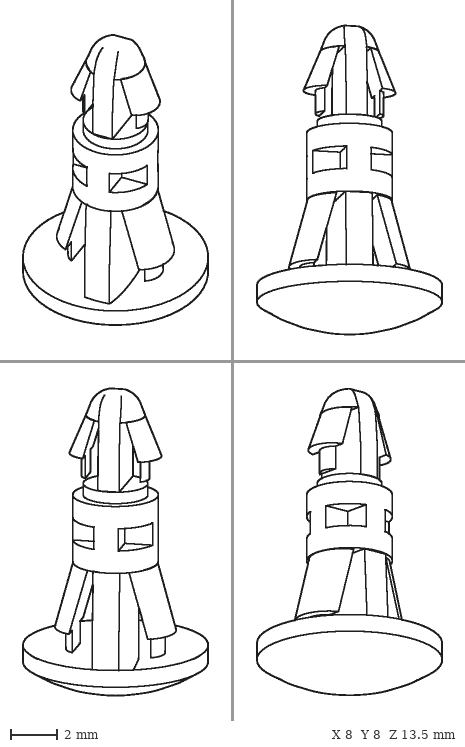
import cadquery as cq
import math

dish_radius = 4.001
dish_depth = 1.25
rim_height = 0.75
rim_top = dish_depth + rim_height

outer_sphere_radius = (dish_radius**2 + dish_depth**2) / (2 * dish_depth)
sphere_centre = outer_sphere_radius
inner_sphere_radius = math.hypot(dish_radius, sphere_centre - rim_top)
dish_floor = sphere_centre - inner_sphere_radius

lower_prong_bottom = 1.75
lower_barb_bottom = 2.75
collar_bottom = 5.74
collar_top = 8.74
neck_top = 9.25
upper_prong_bottom = 9.54
upper_barb_bottom = 10.56
head_bottom = 12.32
dome_bottom = 12.86
head_top = 13.45

collar_radius = 3.7 / 2
neck_radius = 2.8 / 2
head_radius = 1.28
dome_radius = 1.08
tip_radius = 0.16

pocket_height = 1.0
pocket_middle = (collar_bottom + collar_top) / 2
core_half_width = 0.54

lower_rib_thickness = 1.18
lower_rib_foot = 1.88
lower_rib_top = 1.72
inside_wall = 0.54
upper_rib_thickness = 0.94
upper_rib_foot = 1.32
upper_rib_top = 1.18
rib_dome_half_width = 0.97
rib_tip_half_width = 0.04

lower_barb_half_width = 1.36
lower_barb_foot = (1.75, 2.65)
lower_barb_root = (0.9, 1.83)
lower_prong_half_width = 0.75
lower_prong_faces = (1.75, 2.18)
upper_barb_half_width = 1.0
upper_barb_foot = (1.22, 2.02)
upper_barb_root = (0.7, 1.28)
upper_prong_half_width = 0.52
upper_prong_faces = (1.22, 1.49)


def sphere_height(sphere_radius, radius):
    """Height on a sphere of the dish at a distance from the axis."""
    return sphere_centre - math.sqrt(sphere_radius**2 - radius**2)


def make_dish():
    """Shell between two concentric spheres, with an upright rim."""
    middle = dish_radius / 2
    return (
        cq.Workplane("XZ")
        .threePointArc((middle, sphere_height(outer_sphere_radius, middle)), (dish_radius, dish_depth))
        .lineTo(dish_radius, rim_top)
        .threePointArc((middle, sphere_height(inner_sphere_radius, middle)), (0, dish_floor))
        .close()
        .revolve(360, (0, 0, 0), (0, 1, 0))
    )


def cylinder(radius, bottom, top):
    return cq.Workplane("XY").workplane(offset=bottom).circle(radius).extrude(top - bottom)


def make_collar():
    collar = cylinder(collar_radius, collar_bottom, collar_top)
    pocket_centre = core_half_width + collar_radius / 2
    for x_side in (-1, 1):
        for y_side in (-1, 1):
            pocket = cq.Workplane("XY").box(collar_radius, collar_radius, pocket_height)
            collar = collar.cut(
                pocket.translate((x_side * pocket_centre, y_side * pocket_centre, pocket_middle))
            )
    return collar


def make_lower_rib():
    """Tapered rib that stands on the hollow upper face of the dish."""
    rib = (
        cq.Workplane("YZ")
        .moveTo(-lower_rib_foot, inside_wall)
        .lineTo(lower_rib_foot, inside_wall)
        .lineTo(lower_rib_foot, lower_barb_bottom)
        .lineTo(lower_rib_top, collar_bottom)
        .lineTo(-lower_rib_top, collar_bottom)
        .lineTo(-lower_rib_foot, lower_barb_bottom)
        .close()
        .extrude(lower_rib_thickness / 2, both=True)
    )
    return rib.cut(make_dish())


def make_upper_rib():
    return (
        cq.Workplane("YZ")
        .moveTo(-upper_rib_foot, neck_top)
        .lineTo(upper_rib_foot, neck_top)
        .lineTo(upper_rib_foot, upper_barb_bottom)
        .lineTo(upper_rib_top, head_bottom)
        .lineTo(-upper_rib_top, head_bottom)
        .lineTo(-upper_rib_foot, upper_barb_bottom)
        .close()
        .extrude(upper_rib_thickness / 2, both=True)
    )


def dome_arc_middle(bottom_radius, top_radius):
    """Middle of a dome arc that is level where it reaches the head top."""
    run = bottom_radius - top_radius
    drop = head_top - dome_bottom
    arc_radius = (run**2 + drop**2) / (2 * drop)
    half_angle = math.atan2(drop, run)
    return (
        top_radius + arc_radius * math.sin(half_angle),
        head_top - arc_radius * (1 - math.cos(half_angle)),
    )


def make_head():
    """Round domed head, flattened on both Y sides to the width of the rib."""
    round_head = (
        cq.Workplane("XZ")
        .moveTo(0, head_bottom)
        .lineTo(head_radius, head_bottom)
        .lineTo(dome_radius, dome_bottom)
        .threePointArc(dome_arc_middle(dome_radius, tip_radius), (tip_radius, head_top))
        .lineTo(0, head_top)
        .close()
        .revolve(360, (0, 0, 0), (0, 1, 0))
    )
    middle_y, middle_z = dome_arc_middle(rib_dome_half_width, rib_tip_half_width)
    flattening = (
        cq.Workplane("YZ")
        .moveTo(-upper_rib_top, head_bottom)
        .lineTo(upper_rib_top, head_bottom)
        .lineTo(rib_dome_half_width, dome_bottom)
        .threePointArc((middle_y, middle_z), (rib_tip_half_width, head_top))
        .lineTo(-rib_tip_half_width, head_top)
        .threePointArc((-middle_y, middle_z), (-rib_dome_half_width, dome_bottom))
        .close()
        .extrude(head_radius, both=True)
    )
    return round_head.intersect(flattening)


def make_arm(half_width, foot_faces, root_faces, bottom, top):
    """Arm on the +X side with a flat inner face and a rounded outer face."""
    arm = cq.Workplane("XY").workplane(offset=bottom)
    rises = (0, top - bottom)
    for (inner, outer), rise in zip((foot_faces, root_faces), rises):
        arm = (
            arm.workplane(offset=rise)
            .moveTo(inner, -half_width)
            .threePointArc((outer, 0), (inner, half_width))
            .close()
        )
    return arm.loft(ruled=True, combine=True)


def make_post():
    post = make_collar().union(cylinder(neck_radius, collar_top, neck_top))
    post = post.union(make_lower_rib()).union(make_upper_rib()).union(make_head())
    arms = (
        make_arm(lower_barb_half_width, lower_barb_foot, lower_barb_root, lower_barb_bottom, collar_bottom),
        make_arm(
            lower_prong_half_width, lower_prong_faces, lower_prong_faces,
            lower_prong_bottom, lower_barb_bottom,
        ),
        make_arm(upper_barb_half_width, upper_barb_foot, upper_barb_root, upper_barb_bottom, head_bottom),
        make_arm(
            upper_prong_half_width, upper_prong_faces, upper_prong_faces,
            upper_prong_bottom, upper_barb_bottom,
        ),
    )
    for arm in arms:
        post = post.union(arm).union(arm.mirror("YZ"))
    return post


dish = make_dish()
post = make_post()
result = cq.Compound.makeCompound([dish.val(), *post.vals()])